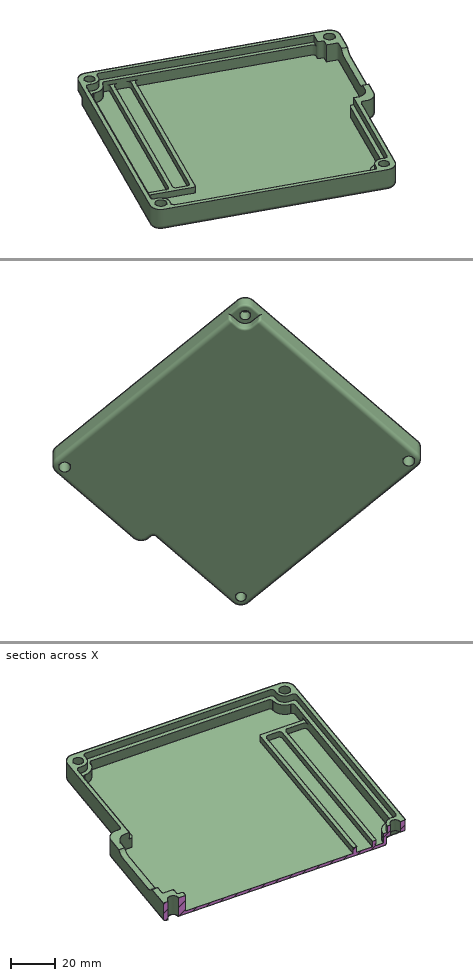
import cadquery as cq
import math

length_x = 116.5
length_y = 124.2
height = 11.2
corner_radius = 5.0
bottom_round = 2.0

tab_width = 60.0
tab_depth = 8.0
shoulder_y = length_y - tab_depth
tab_wall = 3.0
tab_end_radius = 5.0

rim_wall = 2.0
lower_wall = 2 * rim_wall
ledge_z = 7.5
rib_top_z = 5.2
floor_z = 2.0
pocket_radius = 1.5

hole_inset = 5.2
small_hole_diameter = 4.8
large_hole_diameter = 5.3
rim_boss_radius = 4.2
right_hole_x = length_x - hole_inset
small_holes = [(hole_inset, hole_inset), (right_hole_x, shoulder_y - hole_inset)]
large_holes = [(hole_inset, length_y - hole_inset), (right_hole_x, hole_inset)]

step_x = (7.7, 11.3)
step_y = (length_y - 11.5, length_y - 8.6)
step_radius = 0.7

rib_width = 2.0
slot_end_x = 93.1
front_slot_end_y = 15.0
back_slot_width = 8.0
back_slot_start_y = front_slot_end_y + rib_width
back_slot_end_y = back_slot_start_y + back_slot_width
rib_end_x = slot_end_x + rib_width
rib_end_y = back_slot_end_y + rib_width
rib_corner_radius = 0.7

dip_start_x = 16.0
dip_end_x = 47.6
dip_depth = 2.2
dip_end_run = 4.0

notch_size = 9.7
notch_height = 4.7
notch_radius = 4.6
notch_edge_round = 1.0

surface_tolerance = 0.001


def rounded_prism(corners, bottom_z, top_z):
    """Prism on a closed outline of (x, y, radius) corners, each rounded by its radius."""
    tangents = []
    for i, (x, y, radius) in enumerate(corners):
        corner = cq.Vector(x, y)
        before = (cq.Vector(*corners[i - 1][:2]) - corner).normalized()
        after = (cq.Vector(*corners[(i + 1) % len(corners)][:2]) - corner).normalized()
        half_angle = before.getAngle(after) / 2
        setback = radius / math.tan(half_angle)
        to_middle = radius / math.sin(half_angle) - radius
        middle = corner + (before + after).normalized() * to_middle
        tangents.append((corner + before * setback, middle, corner + after * setback))

    outline = cq.Workplane("XY", origin=(0, 0, bottom_z)).moveTo(*tangents[0][2].toTuple()[:2])
    for (start, middle, end), corner in zip(tangents[1:] + tangents[:1], corners[1:] + corners[:1]):
        outline = outline.lineTo(start.x, start.y)
        if corner[2] > 0:
            outline = outline.threePointArc((middle.x, middle.y), (end.x, end.y))
    return outline.close().extrude(top_z - bottom_z)


def boss_corner(at_right, at_back, wall, x_wall_first):
    """Inner outline around the screw boss of one corner, starting on the wall along X or along Y."""
    boss_radius = rim_boss_radius + wall - rim_wall
    reach = hole_inset + boss_radius
    near_x, far_x = (length_x - wall, length_x - reach) if at_right else (wall, reach)
    near_y, far_y = (shoulder_y - wall, shoulder_y - reach) if at_back else (wall, reach)
    corners = [
        (far_x, near_y, pocket_radius),
        (far_x, far_y, boss_radius),
        (near_x, far_y, pocket_radius),
    ]
    return corners if x_wall_first else corners[::-1]


def back_left_corner(wall, ledge_corner_radius):
    """Inner outline clockwise from the left wall over the tab to the shoulder wall."""
    tab_inner_y = length_y - tab_wall
    tab_inner_x = tab_width - lower_wall
    return [
        (wall, step_y[0], ledge_corner_radius),
        (step_x[0], step_y[0], step_radius),
        (step_x[0], step_y[1], step_radius),
        (step_x[1], step_y[1], 0),
        (step_x[1], tab_inner_y, step_radius),
        (tab_inner_x, tab_inner_y, tab_end_radius),
        (tab_inner_x, shoulder_y - wall, ledge_corner_radius),
    ]


def tray_body():
    body = rounded_prism(
        [
            (0, 0, corner_radius),
            (0, length_y, corner_radius),
            (tab_width, length_y, tab_end_radius),
            (tab_width, shoulder_y, pocket_radius),
            (length_x, shoulder_y, corner_radius),
            (length_x, 0, corner_radius),
        ],
        0,
        height,
    )
    return body.faces("<Z").edges().fillet(bottom_round)


def cavity(wall, ledge_corner_radius, bottom_z):
    """Open space inside a wall of the given thickness, from bottom_z up to the rim."""
    corners = (
        back_left_corner(wall, ledge_corner_radius)
        + boss_corner(True, True, wall, True)
        + boss_corner(True, False, wall, False)
        + boss_corner(False, False, wall, True)
    )
    return rounded_prism(corners, bottom_z, height)


def main_floor():
    """Floor pocket around the ribbed front left area."""
    corners = (
        back_left_corner(lower_wall, pocket_radius)
        + boss_corner(True, True, lower_wall, True)
        + boss_corner(True, False, lower_wall, False)
        + [
            (rib_end_x, lower_wall, pocket_radius),
            (rib_end_x, rib_end_y, rib_corner_radius),
            (lower_wall, rib_end_y, pocket_radius),
        ]
    )
    return rounded_prism(corners, floor_z, rib_top_z)


def front_slot():
    corners = boss_corner(False, False, lower_wall, True) + [
        (lower_wall, front_slot_end_y, rib_corner_radius),
        (slot_end_x, front_slot_end_y, pocket_radius),
        (slot_end_x, lower_wall, pocket_radius),
    ]
    return rounded_prism(corners, floor_z, rib_top_z)


def back_slot():
    corners = [
        (lower_wall, back_slot_start_y, pocket_radius),
        (lower_wall, back_slot_end_y, pocket_radius),
        (slot_end_x, back_slot_end_y, pocket_radius),
        (slot_end_x, back_slot_start_y, pocket_radius),
    ]
    return rounded_prism(corners, floor_z, rib_top_z)


def wall_dip():
    """Shallow dip whose floor curves up to the rim at both ends."""
    bottom_z = height - dip_depth
    end_radius = (dip_end_run**2 + dip_depth**2) / (2 * dip_depth)
    half_turn = math.atan2(dip_end_run, end_radius - dip_depth) / 2
    middle_run = end_radius * math.sin(half_turn)
    middle_z = bottom_z + end_radius * (1 - math.cos(half_turn))
    floor_start_x = dip_start_x + dip_end_run
    floor_end_x = dip_end_x - dip_end_run
    profile = (
        cq.Workplane("XZ", origin=(0, length_y, 0))
        .moveTo(dip_start_x, height)
        .threePointArc((floor_start_x - middle_run, middle_z), (floor_start_x, bottom_z))
        .lineTo(floor_end_x, bottom_z)
        .threePointArc((floor_end_x + middle_run, middle_z), (dip_end_x, height))
        .close()
    )
    return profile.extrude(tab_wall)


def holes(diameter, centers):
    return cq.Workplane("XY").pushPoints(centers).circle(diameter / 2).extrude(height)


def corner_notch():
    return rounded_prism(
        [
            (-notch_size, -notch_size, 0),
            (-notch_size, notch_size, 0),
            (notch_size, notch_size, notch_radius),
            (notch_size, -notch_size, 0),
        ],
        -notch_height,
        notch_height,
    )


def lies_on(edge, workplane):
    """Whether the middle of an edge lies on the surface of a solid."""
    middle = cq.Vertex.makeVertex(*edge.positionAt(0.5).toTuple())
    return middle.distance(workplane.val().Shells()[0]) < surface_tolerance


def cut_notch(body):
    """Cut the notch and round the edge of its opening on the outer surface."""
    notch = corner_notch()
    notched = body.cut(notch)
    opening = [edge for edge in notched.edges().vals() if lies_on(edge, body) and lies_on(edge, notch)]
    return notched.newObject(opening).fillet(notch_edge_round)


result = cut_notch(tray_body())
result = result.cut(cavity(rim_wall, 0, ledge_z))
result = result.cut(cavity(lower_wall, pocket_radius, rib_top_z))
for pocket in (main_floor(), front_slot(), back_slot()):
    result = result.cut(pocket)
result = result.cut(wall_dip())
result = result.cut(holes(small_hole_diameter, small_holes))
result = result.cut(holes(large_hole_diameter, large_holes))